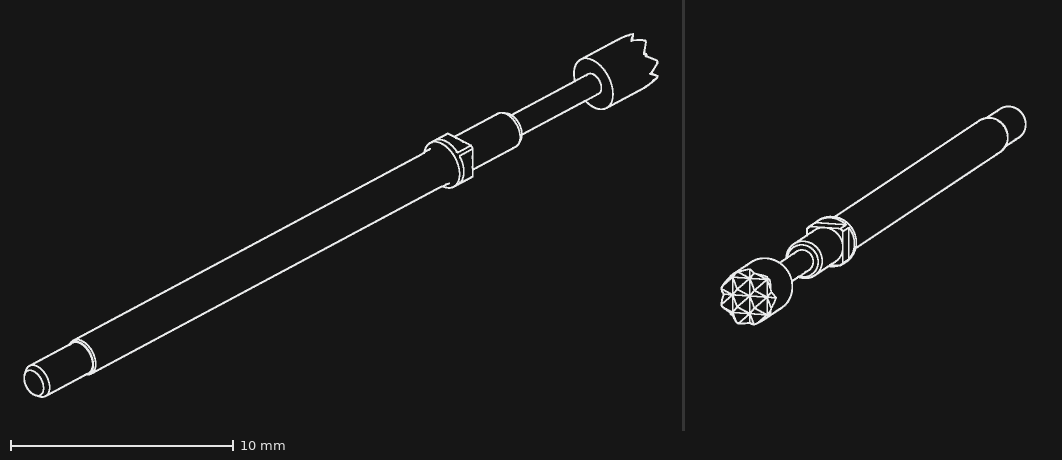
import cadquery as cq
import math


total_length = 38.8
head_length = 3.0
barrel_start = 3.0
seat_start = 25.25
flange_start = 26.1
flange_end = 26.4
square_end = 27.25
barrel_end = 30.5

head_radius = 1.25
plunger_radius = 0.5
barrel_radius = 0.85
flange_radius = 1.13
tail_radius = 0.78

tail_chamfer_length = 0.25
tail_chamfer_drop = 0.15
barrel_chamfer_length = 0.1
barrel_chamfer_drop = 0.05
collar_chamfer_length = 0.25
collar_chamfer_drop = 0.1

seat_radius = 0.9
seat_fillet = 0.1

square_across_flats = 1.7

groove_pitch = 0.8
groove_depth = 0.6
groove_rows = 3

head_start = total_length - head_length


def make_turned_body():
    """Revolve the half profile, given as (radius, station), around the Y axis."""
    tail_and_barrel = [
        (0, 0),
        (tail_radius - tail_chamfer_drop, 0),
        (tail_radius, tail_chamfer_length),
        (tail_radius, barrel_start),
        (barrel_radius - barrel_chamfer_drop, barrel_start),
        (barrel_radius, barrel_start + barrel_chamfer_length),
        (barrel_radius, seat_start),
        (seat_radius, flange_start - seat_fillet),
    ]
    fillet_bulge = seat_fillet * (1 - math.sqrt(0.5))
    fillet_middle = (seat_radius + fillet_bulge, flange_start - fillet_bulge)
    fillet_end = (seat_radius + seat_fillet, flange_start)
    flange_to_head = [
        (flange_radius, flange_start),
        (flange_radius, flange_end),
        (barrel_radius, flange_end),
        (barrel_radius, barrel_end - collar_chamfer_length),
        (barrel_radius - collar_chamfer_drop, barrel_end),
        (plunger_radius, barrel_end),
        (plunger_radius, head_start),
        (head_radius, head_start),
        (head_radius, total_length),
        (0, total_length),
    ]
    profile = (
        cq.Workplane("XY")
        .polyline(tail_and_barrel)
        .threePointArc(fillet_middle, fillet_end)
        .polyline(flange_to_head, includeCurrent=True)
        .close()
    )
    return profile.revolve(360, (0, 0), (0, 1))


def plane_at(station):
    """Plane across the axis, facing +Y."""
    return cq.Plane(origin=(0, station, 0), xDir=(1, 0, 0), normal=(0, 1, 0))


def make_square_section():
    """Square section whose corners are rounded to the flange radius."""
    length = square_end - flange_end
    square = cq.Workplane(plane_at(flange_end)).rect(square_across_flats, square_across_flats).extrude(length)
    corner_limit = cq.Workplane(plane_at(flange_end)).circle(flange_radius).extrude(length)
    return square.intersect(corner_limit)


def make_groove_row():
    """Side-by-side V grooves parallel to Z, meeting in sharp ridges at the end of the head."""
    half_width = groove_rows * groove_pitch / 2
    profile = [(-half_width, total_length)]
    for index in range(groove_rows):
        ridge = (index + 1) * groove_pitch - half_width
        profile.append((ridge - groove_pitch / 2, total_length - groove_depth))
        profile.append((ridge, total_length))
    profile.append((half_width, total_length + groove_depth))
    profile.append((-half_width, total_length + groove_depth))
    return cq.Workplane("XY").polyline(profile).close().extrude(head_radius, both=True)


groove_row = make_groove_row()
crossing_row = groove_row.rotate((0, 0, 0), (0, 1, 0), 90)

result = make_turned_body().union(make_square_section()).cut(groove_row).cut(crossing_row)